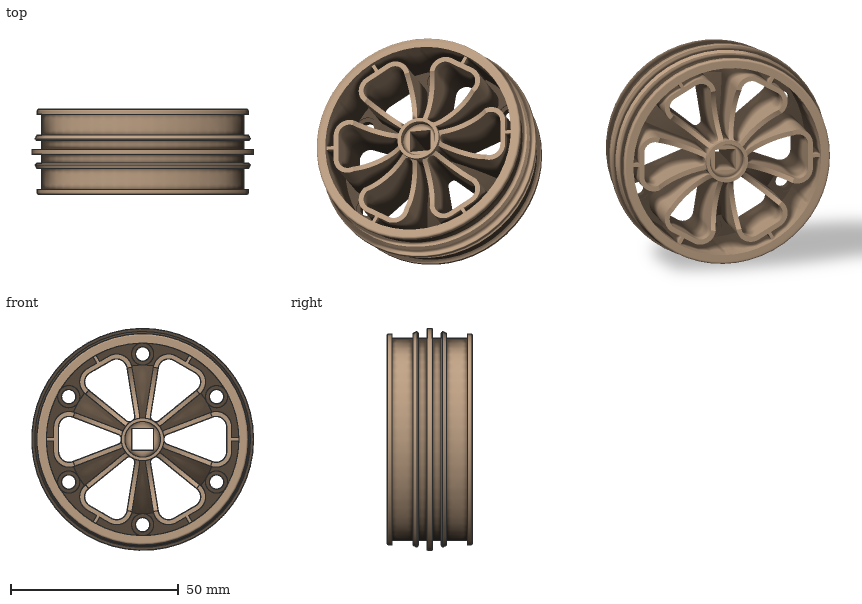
import cadquery as cq
import math

wheel_width = 25.4
half_width = wheel_width / 2
face_setback = 1.524
tread_radius = 33.02

rim_outer_radius = 30.14
rim_inner_radius = 28.64
flange_radius = 62.87 / 2
flange_width = 1.524
flange_fillet = 0.6
center_rib_width = 1.524
center_rib_fillet = 0.2
side_rib_inner_face = 3.35
side_rib_outer_face = 5.0
side_rib_crest = 3.85
side_rib_radius = 32.1
side_rib_root_radius = 31.5

hub_radius = 12.7 / 2
hub_recess_radius = 10.6 / 2
hub_recess_depth = 2.54
square_bore = 6.35

spoke_count = 6
spoke_pitch = 360 / spoke_count
window_half_angle = 20.9
window_apex = 3.5
window_inner_edge = 6.38
window_outer_edge = 24.97
window_inner_fillet = 1.27
window_outer_fillet = 3.1
wall_thickness = 1.5
wall_top = half_width - face_setback
dish_radius = 21.7
dish_depth = 2.95
tie_width = 1.016

web_thickness = 2 * face_setback
web_floor_y = half_width - web_thickness
web_swell = 6.0
web_crown_radius = 4.0

bolt_circle_radius = 25.4
bolt_hole_radius = 4.19 / 2
bolt_pad_radius = 3.3
bolt_pad_depth = 0.4
spoke_end_radius = bolt_circle_radius - bolt_pad_radius


def cylinder(radius, half_length):
    """Cylinder about the Y axis, centred on Y = 0."""
    return cq.Workplane("XZ", origin=(0, half_length, 0)).circle(radius).extrude(2 * half_length)


def revolve_section(section):
    """Turn a section drawn with X as radius and Y as height about the Y axis."""
    return section.close().revolve(360, (0, 0, 0), (0, 1, 0))


def both_sides(body):
    """Add the mirror image of a body across the middle plane."""
    return body.union(body.mirror("XZ"))


def around_axis(body, start_angle):
    """Repeat a body that lies along +X once per spoke, starting at an angle."""
    copies = [
        body.rotate((0, 0, 0), (0, 1, 0), start_angle + i * spoke_pitch).val()
        for i in range(spoke_count)
    ]
    return cq.Workplane("XZ").newObject(copies).combine()


def make_rim():
    """Rim tube with end flanges, a centre rib and two side ribs."""
    rim = cylinder(rim_outer_radius, half_width)
    flange = (
        cq.Workplane("XZ", origin=(0, -half_width + flange_width, 0))
        .circle(flange_radius)
        .extrude(flange_width)
        .faces("<Y")
        .fillet(flange_fillet)
    )
    center_rib = cylinder(tread_radius, center_rib_width / 2).edges().fillet(center_rib_fillet)
    side_rib = revolve_section(
        cq.Workplane("XY")
        .moveTo(rim_inner_radius, -side_rib_inner_face)
        .lineTo(side_rib_root_radius, -side_rib_inner_face)
        .lineTo(side_rib_radius, -side_rib_crest)
        .lineTo(side_rib_root_radius, -side_rib_outer_face)
        .lineTo(rim_inner_radius, -side_rib_outer_face)
    )
    rim = rim.union(both_sides(flange)).union(center_rib).union(both_sides(side_rib))
    return rim.cut(cylinder(rim_inner_radius, half_width))


def window_prism(half_length):
    """Rounded window outline along +X, narrowing toward the hub."""
    taper = math.tan(math.radians(window_half_angle))
    inner_half_height = (window_inner_edge - window_apex) * taper
    outer_half_height = (window_outer_edge - window_apex) * taper
    prism = (
        cq.Workplane("XZ", origin=(0, half_length, 0))
        .moveTo(window_inner_edge, -inner_half_height)
        .lineTo(window_outer_edge, -outer_half_height)
        .lineTo(window_outer_edge, outer_half_height)
        .lineTo(window_inner_edge, inner_half_height)
        .close()
        .extrude(2 * half_length)
    )
    prism = prism.edges("|Y and <X").fillet(window_inner_fillet)
    return prism.edges("|Y and >X").fillet(window_outer_fillet)


def make_web():
    """Plate behind a flat floor that swells toward the hub in a convex arc."""
    inner_run = hub_radius - web_crown_radius
    outer_run = spoke_end_radius - web_crown_radius
    center_drop = (outer_run**2 - inner_run**2 - web_swell**2) / (2 * web_swell) + web_swell
    arc_radius = math.hypot(inner_run, center_drop)
    arc_center_y = web_floor_y - web_swell + center_drop
    mid_run = (inner_run + outer_run) / 2
    mid_y = arc_center_y - math.sqrt(arc_radius**2 - mid_run**2)
    return revolve_section(
        cq.Workplane("XY")
        .moveTo(0, half_width)
        .lineTo(0, web_floor_y - web_swell)
        .lineTo(hub_radius, web_floor_y - web_swell)
        .threePointArc((web_crown_radius + mid_run, mid_y), (spoke_end_radius, web_floor_y))
        .lineTo(rim_inner_radius, web_floor_y)
        .lineTo(rim_inner_radius, half_width)
    )


def make_walls():
    """Walls around the windows, tied to the rim, with a hollow turned into their front edges."""
    wall_height = wall_top + half_width
    outline = window_prism(wall_top).faces("<Y").wires().val().offset2D(wall_thickness)
    wall = (
        cq.Workplane("XZ", origin=(0, -wall_top, 0))
        .newObject(outline)
        .toPending()
        .extrude(-wall_height)
    )
    tie_length = rim_inner_radius - window_outer_edge
    tie = cq.Workplane("XY").box(tie_length, wall_height, tie_width)
    tie = tie.translate((window_outer_edge + tie_length / 2, (half_width - wall_top) / 2, 0))
    dish = revolve_section(
        cq.Workplane("XY")
        .moveTo(hub_radius, -wall_top)
        .threePointArc(
            ((hub_radius + dish_radius) / 2, -wall_top + dish_depth),
            (dish_radius, -wall_top),
        )
    )
    return around_axis(wall.union(tie).cut(dish), 0)


def on_bolt_circle(radius, front_y, back_y):
    """Cylinders along Y between two heights, one at the end of each spoke."""
    post = (
        cq.Workplane("XZ", origin=(0, back_y, 0))
        .center(bolt_circle_radius, 0)
        .circle(radius)
        .extrude(back_y - front_y)
    )
    return around_axis(post, spoke_pitch / 2)


def make_hub_recess():
    """Round recess in the front end of the hub."""
    return (
        cq.Workplane("XZ", origin=(0, hub_recess_depth - half_width, 0))
        .circle(hub_recess_radius)
        .extrude(hub_recess_depth)
    )


hub = cylinder(hub_radius, half_width)
result = make_rim().union(make_web()).union(make_walls()).union(hub)
result = result.cut(around_axis(window_prism(half_width), 0))
result = result.cut(on_bolt_circle(bolt_pad_radius, -wall_top, web_floor_y + bolt_pad_depth))
result = result.cut(on_bolt_circle(bolt_hole_radius, -half_width, half_width))
result = result.cut(make_hub_recess())
result = result.cut(cq.Workplane("XY").box(square_bore, wheel_width, square_bore)).solids()